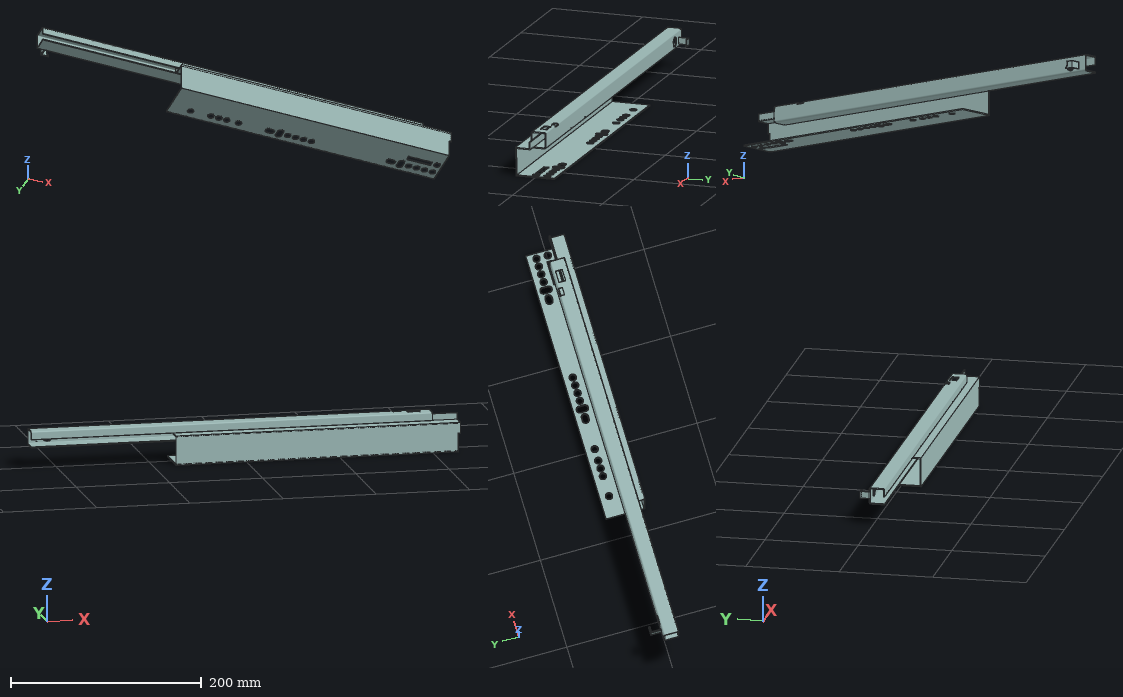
import cadquery as cq

sheet = 1.25
overall_length = 459.0
overall_height = 42.0

base_width = 42.5
base_start = 153.8
base_end = 456.5
flange_top = 31.5
flange_width = 16.5
guide_top = 38.5
end_step_height = 19.7

row_y = 32.5
hole_diameter = 6.5
hole_chamfer = 0.7
hole_pitch = 8.95
first_hole_x = 177.0
triple_start_x = 200.0
triple_count = 3
single_hole_x = 231.5
group_start_xs = (266.5, 403.5)
group_hole_count = 4
long_slot_length = 9.5
long_slot_height = 6.5
tall_slot_offset = 11.0
tall_slot_width = 6.5
tall_slot_length = 12.0
group_hole_offset = 20.0
inner_row_y = 20.0
inner_hole_x = 450.7
inner_slot_start = 417.5
inner_slot_end = 444.5
inner_slot_width = 5.5

rail_end = 430.5
rail_width = 16.5
guide_centre_y = flange_width - sheet / 2
rail_front = guide_centre_y - rail_width / 2
rail_back = guide_centre_y + rail_width / 2
rail_bottom = 24.5
rail_lip_bottom = 33.0
rail_corner_radius = 2.0

hook_x = 8.5
hook_bottom = 27.5
hook_top = 35.0
hook_back = 36.0
hook_end = 17.5
hook_hole_x = 20.5
hook_hole_z = 32.5
hook_hole_diameter = 10.5

edge_notch_start = 391.0
edge_notch_end = 399.5
edge_notch_front = 19.5
window_start = 405.8
window_end = 418.5
window_front = 13.8
window_back = 21.0


def box(x_start, x_end, y_start, y_end, z_start, z_end):
    """Axis-aligned block between two opposite corners."""
    size = (x_end - x_start, y_end - y_start, z_end - z_start)
    return cq.Workplane("XY").box(*size, centered=False).translate((x_start, y_start, z_start))


def extrude_profile(points, x_start, x_end):
    """Sweep a (Y, Z) outline along X."""
    profile = cq.Workplane("YZ", origin=(x_start, 0, 0)).polyline(points).close()
    return profile.extrude(x_end - x_start)


def plate_slot(x, y, length, width, angle=0):
    """Cutter for a round-ended slot through the base plate, with a chamfered upper rim."""
    slot = cq.Workplane("XY").center(x, y).slot2D(length, width, angle).extrude(sheet)
    rim_length = length + 2 * hole_chamfer
    rim_width = width + 2 * hole_chamfer
    rim_sketch = cq.Workplane("XY", origin=(x, y, sheet)).slot2D(rim_length, rim_width, angle)
    return slot.union(rim_sketch.extrude(-hole_chamfer, taper=45))


def plate_holes(start_x, y, count):
    """Cutters for a row of round holes through the base plate, with chamfered upper rims."""
    centres = [(start_x + i * hole_pitch, y) for i in range(count)]
    holes = cq.Workplane("XY").pushPoints(centres).circle(hole_diameter / 2).extrude(sheet)
    rim_radius = hole_diameter / 2 + hole_chamfer
    rim_sketch = cq.Workplane("XY", origin=(0, 0, sheet)).pushPoints(centres).circle(rim_radius)
    return holes.union(rim_sketch.extrude(-hole_chamfer, taper=45))


def make_fixed_rail():
    outline = [
        (0, 0),
        (base_width, 0),
        (base_width, sheet),
        (sheet, sheet),
        (sheet, flange_top - sheet),
        (flange_width, flange_top - sheet),
        (flange_width, guide_top),
        (flange_width - sheet, guide_top),
        (flange_width - sheet, flange_top),
        (0, flange_top),
    ]
    rail = extrude_profile(outline, base_start, overall_length)

    rail = rail.cut(box(base_end, overall_length, 0, base_width, 0, end_step_height))

    rail = rail.cut(plate_holes(first_hole_x, row_y, 1))
    rail = rail.cut(plate_holes(triple_start_x, row_y, triple_count))
    rail = rail.cut(plate_holes(single_hole_x, row_y, 1))

    for x in group_start_xs:
        rail = rail.cut(plate_slot(x, row_y, long_slot_length, long_slot_height))
        rail = rail.cut(plate_slot(x + tall_slot_offset, row_y, tall_slot_length, tall_slot_width, 90))
        rail = rail.cut(plate_holes(x + group_hole_offset, row_y, group_hole_count))

    slot_front = inner_row_y - inner_slot_width / 2
    slot_back = inner_row_y + inner_slot_width / 2
    rail = rail.cut(box(inner_slot_start, inner_slot_end, slot_front, slot_back, 0, sheet))
    return rail.cut(plate_holes(inner_hole_x, inner_row_y, 1))


def make_drawer_rail():
    outside = box(0, rail_end, rail_front, rail_back, rail_bottom, overall_height)
    outside = outside.edges("|X and (>Z or >Y)").fillet(rail_corner_radius)
    inside = box(
        0, rail_end, rail_front + sheet, rail_back - sheet, rail_bottom + sheet, overall_height - sheet
    )
    inside = inside.edges("|X and (>Z or >Y)").fillet(rail_corner_radius - sheet)
    front_gap = box(0, rail_end, rail_front, rail_front + sheet, rail_bottom + sheet, rail_lip_bottom)
    rail = outside.cut(inside).cut(front_gap)

    arm = box(hook_x, hook_x + sheet, rail_back - sheet, hook_back, hook_bottom, hook_top)
    foot = box(hook_x, hook_end, hook_back - sheet, hook_back, hook_bottom, hook_top)
    rail = rail.union(arm).union(foot)

    hook_hole = cq.Workplane("XZ", origin=(hook_hole_x, hook_back, hook_hole_z))
    hook_hole = hook_hole.circle(hook_hole_diameter / 2).extrude(hook_back - rail_back + sheet)
    rail = rail.cut(hook_hole)

    top_inside = overall_height - rail_corner_radius
    edge_notch = box(
        edge_notch_start, edge_notch_end, edge_notch_front, rail_back, top_inside, overall_height
    )
    window = box(window_start, window_end, window_front, window_back, top_inside, overall_height)
    return rail.cut(edge_notch).cut(window)


fixed_rail = make_fixed_rail()
drawer_rail = make_drawer_rail()

result = cq.Compound.makeCompound([fixed_rail.val(), drawer_rail.val()])